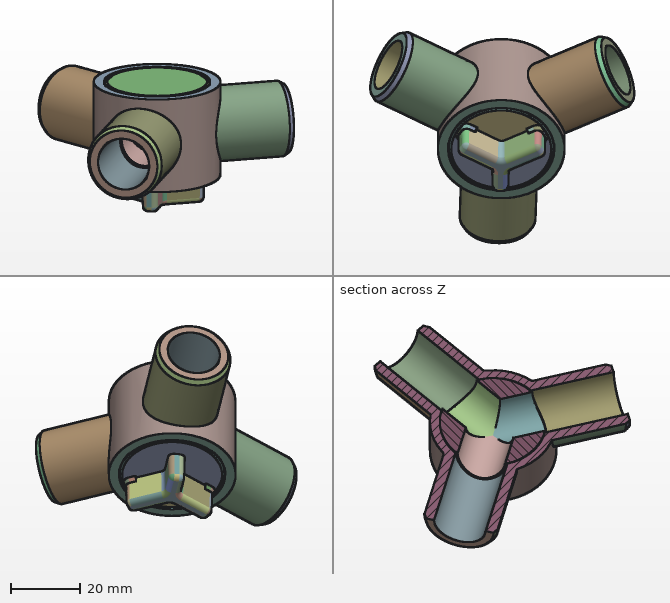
import cadquery as cq


housing_radius = 18.4
housing_height = 28.0
cavity_radius = 15.4
port_height = housing_height / 2
port_angles = (90, 210, 330)

tube_length = 38.4
tube_radius = 11.0
tube_bore_radius = 7.7
tube_chamfer_length = 1.5
tube_chamfer_depth = 0.9

disc_clearance = 0.2
disc_radius = cavity_radius - disc_clearance
disc_chamfer = 0.7
disc_face_radius = disc_radius - disc_chamfer
disc_thickness = 3.1

rotor_height = housing_height - 2 * disc_thickness
rotor_bore_radius = 7.05

handle_drop = 9.05
handle_draft = 1.5
long_arm_length = 13.95
short_arm_length = 9.3
long_arm_angles = (90, 210)
short_arm_angle = 330
arm_half_width = 2.45
arm_corner_radius = 1.7
arm_bottom_fillet = 1.5

foot_height = 1.4
foot_flare = 30
foot_start_radius = 10.6


def radial_cylinder(radius, length, angle):
    """Cylinder from the housing axis outward at port height."""
    cylinder = cq.Workplane("YZ").center(0, port_height).circle(radius).extrude(length)
    return cylinder.rotate((0, 0, 0), (0, 0, 1), angle)


def port_tube(angle):
    """Solid tube with a chamfered mouth."""
    half_profile = (
        cq.Workplane("XZ")
        .moveTo(0, 0)
        .lineTo(0, tube_radius)
        .lineTo(tube_length - tube_chamfer_length, tube_radius)
        .lineTo(tube_length, tube_radius - tube_chamfer_depth)
        .lineTo(tube_length, 0)
        .close()
    )
    tube = half_profile.revolve(360, (0, 0, 0), (1, 0, 0))
    return tube.translate((0, 0, port_height)).rotate((0, 0, 0), (0, 0, 1), angle)


def make_housing():
    """Round shell with three tubes opening into a through cavity."""
    housing = cq.Workplane("XY").circle(housing_radius).extrude(housing_height)
    for angle in port_angles:
        housing = housing.union(port_tube(angle))
    for angle in port_angles:
        housing = housing.cut(radial_cylinder(tube_bore_radius, tube_length, angle))
    cavity = cq.Workplane("XY").circle(cavity_radius).extrude(housing_height)
    return housing.cut(cavity)


def make_rotor():
    """Cylindrical core with three passages that meet at its centre."""
    rotor = cq.Workplane("XY").workplane(offset=disc_thickness)
    rotor = rotor.circle(cavity_radius).extrude(rotor_height)
    for angle in port_angles:
        rotor = rotor.cut(radial_cylinder(rotor_bore_radius, tube_length, angle))
    return rotor


def make_lid():
    """Disc flush with the housing top, its rim chamfered."""
    lid = cq.Workplane("XY").workplane(offset=housing_height - disc_thickness)
    return lid.circle(disc_radius).extrude(disc_thickness).faces(">Z").chamfer(disc_chamfer)


def arm_blank(length, angle):
    """Upright bar from the axis outward, with square corners."""
    bar = cq.Workplane("XY").box(length, 2 * arm_half_width, handle_drop, centered=(False, True, False))
    return bar.rotate((0, 0, 0), (0, 0, 1), angle)


def arm_outline(base_height):
    """Workplane at a given height holding the plan of the three arms, all corners rounded."""
    plan = arm_blank(short_arm_length, short_arm_angle)
    for angle in long_arm_angles:
        plan = plan.union(arm_blank(long_arm_length, angle))
    plan = plan.clean().edges("|Z").fillet(arm_corner_radius)
    outline = plan.faces("<Z").wires().val().translate(cq.Vector(0, 0, base_height))
    return cq.Workplane("XY").workplane(offset=base_height).add(outline).toPending()


def make_feet():
    """Flares around the roots of the long arms, kept between two radii."""
    flare = arm_outline(-foot_height).extrude(foot_height, taper=-foot_flare)
    foot_band = cq.Workplane("XY").circle(disc_face_radius).circle(foot_start_radius).extrude(-foot_height)
    return flare.intersect(foot_band)


def make_handle():
    """Disc flush with the housing underside, carrying the drafted arms and their feet."""
    disc = cq.Workplane("XY").circle(disc_radius).extrude(disc_thickness)
    disc = disc.faces("<Z").chamfer(disc_chamfer)

    arms = arm_outline(0).extrude(-handle_drop, taper=handle_draft)
    arms = arms.faces("<Z").edges().fillet(arm_bottom_fillet)
    return disc.union(arms).union(make_feet())


result = cq.Compound.makeCompound(
    [make_housing().val(), make_rotor().val(), make_lid().val(), make_handle().val()]
)